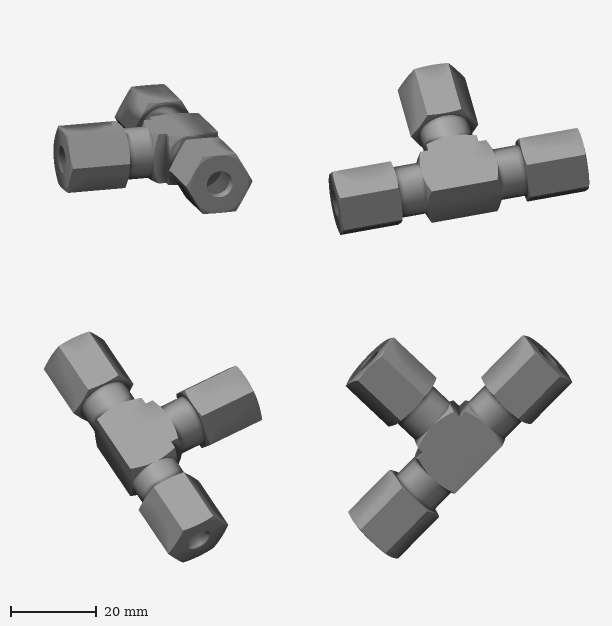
import cadquery as cq
import math

arm_reach = 29.6

block_width = 12.0
block_reach = 9.0
block_corner_drop = 1.1

nut_start = 15.1
nut_across_flats = 14.0
nut_corner_drop = 0.3

bore_diameter = 4.0
mouth_diameter = 6.05
mouth_depth = 2.3
mouth_rim_diameter = 6.3
mouth_rim_depth = 0.2
recess_diameter = 10.0
recess_end = nut_start

stub_radius = block_width / 2
block_corner_radius = stub_radius * math.sqrt(2)
block_cone_slope = block_corner_drop / (block_corner_radius - stub_radius)
nut_flat_radius = nut_across_flats / 2
nut_corner_diameter = nut_across_flats / math.cos(math.radians(30))
nut_corner_radius = nut_corner_diameter / 2
nut_cone_slope = nut_corner_drop / (nut_corner_radius - nut_flat_radius)

trim_margin = 0.6

arm_angles = (0, -90, 180)


def revolve_about_x(profile):
    """Turn a closed profile of (axial, radial) points about the X axis."""
    return cq.Workplane("XY").polyline(profile).close().revolve(360, (0, 0, 0), (1, 0, 0))


def block_arm():
    """Square arm of the block along +X, its end corners turned to a cone."""
    arm_length = block_reach + stub_radius
    square = cq.Workplane("XY").box(arm_length, block_width, block_width)
    square = square.translate((block_reach - arm_length / 2, 0, 0))
    outer_radius = block_corner_radius + trim_margin
    cone_drop = block_cone_slope * (outer_radius - stub_radius)
    envelope = revolve_about_x([
        (-stub_radius, 0),
        (block_reach, 0),
        (block_reach, stub_radius),
        (block_reach - cone_drop, outer_radius),
        (-stub_radius, outer_radius),
    ])
    return square.intersect(envelope)


def pipe_stub():
    """Round stub along +X joining the block to its nut."""
    stub = cq.Workplane("YZ").workplane(offset=block_reach)
    return stub.circle(stub_radius).extrude(nut_start - block_reach)


def nut():
    """Hexagonal nut along +X with flats facing up and down and both ends chamfered."""
    hexagon = cq.Workplane("YZ").workplane(offset=nut_start)
    hexagon = hexagon.polygon(6, nut_corner_diameter).extrude(arm_reach - nut_start)
    outer_radius = nut_corner_radius + trim_margin
    cone_drop = nut_cone_slope * (outer_radius - nut_flat_radius)
    envelope = revolve_about_x([
        (nut_start, 0),
        (nut_start, nut_flat_radius),
        (nut_start + cone_drop, outer_radius),
        (arm_reach - cone_drop, outer_radius),
        (arm_reach, nut_flat_radius),
        (arm_reach, 0),
    ])
    return hexagon.intersect(envelope)


def passage():
    """Stepped passage along +X: bore, chamber, flaring cone and rimmed mouth."""
    bore_radius = bore_diameter / 2
    mouth_radius = mouth_diameter / 2
    recess_radius = recess_diameter / 2
    cone_start = arm_reach - mouth_depth
    cone_end = cone_start - (recess_radius - mouth_radius)
    return revolve_about_x([
        (0, 0),
        (0, bore_radius),
        (recess_end, bore_radius),
        (recess_end, recess_radius),
        (cone_end, recess_radius),
        (cone_start, mouth_radius),
        (arm_reach - mouth_rim_depth, mouth_radius),
        (arm_reach, mouth_rim_diameter / 2),
        (arm_reach, 0),
    ])


def on_every_arm(feature):
    """Join copies of a feature built along +X, one for each arm."""
    copies = [feature.rotate((0, 0, 0), (0, 0, 1), angle) for angle in arm_angles]
    return copies[0].union(copies[1]).union(copies[2])


body = on_every_arm(block_arm()).union(on_every_arm(pipe_stub())).union(on_every_arm(nut()))
result = body.cut(on_every_arm(passage()))